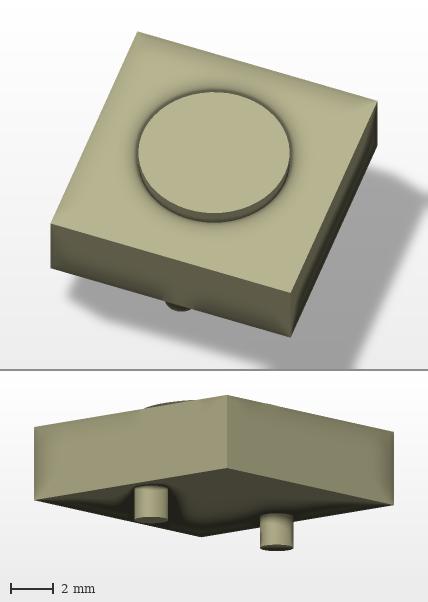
import cadquery as cq

body_side = 12.0
body_height = 3.5

disc_diameter = 7.1
disc_height = 0.75

pin_diameter = 1.6
pin_length = 1.5
pin_spacing = 9.0

body = cq.Workplane("XY").box(body_side, body_side, body_height, centered=(True, True, False))

disc = cq.Workplane("XY").workplane(offset=body_height).circle(disc_diameter / 2).extrude(disc_height)

pin_centers = [(0, -pin_spacing / 2), (0, pin_spacing / 2)]
pins = cq.Workplane("XY").pushPoints(pin_centers).circle(pin_diameter / 2).extrude(-pin_length)

result = body.union(disc).union(pins)